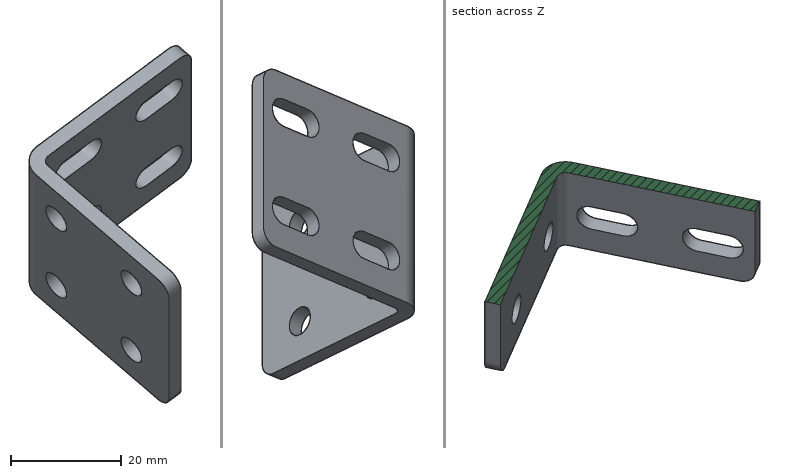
import cadquery as cq

leg_length = 40.0
height = 36.0
thickness = 3.0
inner_bend_radius = 1.6
outer_bend_radius = inner_bend_radius + thickness
corner_radius = 3.0

hole_diameter = 5.5
hole_pitch = 20.0
first_hole_x = 10.0
slot_travel = 6.0
first_slot_y = 12.0
lower_row_z = (height - hole_pitch) / 2


def bent_sheet():
    """L-shaped sheet with its outer bend corner at the origin."""
    profile = (
        cq.Workplane("XY")
        .polyline([
            (0, 0),
            (leg_length, 0),
            (leg_length, thickness),
            (thickness, thickness),
            (thickness, leg_length),
            (0, leg_length),
        ])
        .close()
    )
    sheet = profile.extrude(height)
    sheet = sheet.edges(cq.NearestToPointSelector((0, 0, height / 2))).fillet(outer_bend_radius)
    inner_corner = (thickness, thickness, height / 2)
    return sheet.edges(cq.NearestToPointSelector(inner_corner)).fillet(inner_bend_radius)


def round_free_corners(sheet):
    """Round the upper and lower corners at the free end of each leg."""
    sheet = sheet.faces(">X").edges("|Y").fillet(corner_radius)
    return sheet.faces(">Y").edges("|X").fillet(corner_radius)


def hole_grid(first_position):
    """Centres of the two-by-two hole pattern, as (distance along leg, Z)."""
    return [
        (first_position + column * hole_pitch, lower_row_z + row * hole_pitch)
        for column in range(2)
        for row in range(2)
    ]


round_holes = (
    cq.Workplane("XZ")
    .pushPoints(hole_grid(first_hole_x))
    .circle(hole_diameter / 2)
    .extrude(-thickness)
)

slots = (
    cq.Workplane("YZ")
    .pushPoints(hole_grid(first_slot_y))
    .slot2D(slot_travel + hole_diameter, hole_diameter)
    .extrude(thickness)
)

result = round_free_corners(bent_sheet()).cut(round_holes).cut(slots)